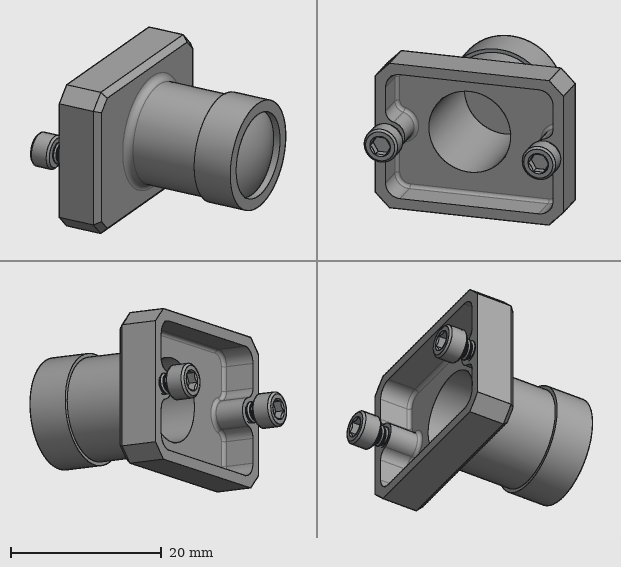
import cadquery as cq
import math


PLATE_THICKNESS = 6.0
PLATE_WIDTH = 26.2
PLATE_HEIGHT = 20.4
CORNER_CHAMFER = 2.0
FRONT_CHAMFER = 0.8

RIM_WIDTH = 1.45
POCKET_DEPTH = 4.6
POCKET_CORNER_RADIUS = 2.0
POCKET_FLOOR_FILLET = 0.5
BOSS_RADIUS = 2.0
BOSS_BLEND_RADIUS = 1.5

BARREL_OFFSET_Y = 1.4
BARREL_DIAMETER = 14.0
BARREL_BORE_DIAMETER = 11.4
BARREL_ROOT_FILLET = 1.0

CAP_DIAMETER = 15.0
CAP_LENGTH = 5.5
CAP_REAR_X = 16.6
CAP_FRONT_X = CAP_REAR_X + CAP_LENGTH

LENS_DIAMETER = 12.5
LENS_RIM_THICKNESS = 1.0
DOME_DIAMETER = 11.84
DOME_RADIUS = 13.0
DOME_PROTRUSION = 0.45
DOME_HEIGHT = DOME_RADIUS - math.sqrt(DOME_RADIUS**2 - (DOME_DIAMETER / 2) ** 2)
LENS_RIM_X = CAP_FRONT_X + DOME_PROTRUSION - DOME_HEIGHT
LENS_REAR_X = LENS_RIM_X - LENS_RIM_THICKNESS

SCREW_SPACING = 22.0
HEAD_DIAMETER = 4.65
HEAD_HEIGHT = 2.85
HEAD_EDGE_CHAMFER = 0.3
HEAD_GAP = 1.55
SOCKET_ACROSS_FLATS = 2.4
SOCKET_DEPTH = 1.3
SOCKET_MOUTH_DIAMETER = 2.85
THREAD_DIAMETER = 2.85
THREAD_ROOT_DIAMETER = 2.27
THREAD_PITCH = 0.635
THREAD_BASE_WIDTH = 0.55
THREAD_CREST_WIDTH = 0.1
THREAD_LENGTH = 6.0
THREAD_EMBED = 0.05
SCREW_LENGTH = 6.35
HEAD_SEAT_X = -HEAD_GAP
THREAD_START = 0.6

SCREW_POSITIONS_Y = [-SCREW_SPACING / 2, SCREW_SPACING / 2]


def cross_section(x, y=0):
    """Workplane normal to X at the given x, with local axes along Y and Z."""
    return cq.Workplane(cq.Plane(origin=(x, y, 0), xDir=(0, 1, 0), normal=(1, 0, 0)))


def rod(x_start, x_end, diameter, y=0):
    """Solid cylinder along X."""
    return cross_section(x_start, y).circle(diameter / 2).extrude(x_end - x_start)


def make_pocket():
    """Volume of the rear pocket, notched on both sides by the screw bosses."""
    pocket_width = PLATE_WIDTH - 2 * RIM_WIDTH
    pocket_height = PLATE_HEIGHT - 2 * RIM_WIDTH
    pocket = cross_section(0).rect(pocket_width, pocket_height).extrude(POCKET_DEPTH)
    pocket = pocket.edges("|X").fillet(POCKET_CORNER_RADIUS)
    for y in SCREW_POSITIONS_Y:
        pocket = pocket.cut(rod(0, POCKET_DEPTH, 2 * BOSS_RADIUS, y))
    blend_zone = cq.selectors.BoxSelector(
        (-1, -pocket_width, -BOSS_RADIUS), (PLATE_THICKNESS, pocket_width, BOSS_RADIUS)
    )
    side_edges = cq.selectors.StringSyntaxSelector("|X")
    pocket = pocket.edges(cq.selectors.AndSelector(side_edges, blend_zone)).fillet(BOSS_BLEND_RADIUS)
    return pocket.faces(">X").edges().fillet(POCKET_FLOOR_FILLET)


def make_housing(screws):
    """Flange plate with its pocket, the barrel that carries the lens, and the tapped screw holes."""
    housing = cross_section(0).rect(PLATE_WIDTH, PLATE_HEIGHT).extrude(PLATE_THICKNESS)
    housing = housing.edges("|X").chamfer(CORNER_CHAMFER)
    housing = housing.faces(">X").chamfer(FRONT_CHAMFER)
    housing = housing.cut(make_pocket())

    housing = housing.union(rod(PLATE_THICKNESS, LENS_RIM_X, BARREL_DIAMETER, BARREL_OFFSET_Y))
    barrel_root = cq.selectors.BoxSelector(
        (PLATE_THICKNESS - 0.1, BARREL_OFFSET_Y - 0.1, -BARREL_DIAMETER),
        (PLATE_THICKNESS + 0.1, BARREL_OFFSET_Y + 0.1, BARREL_DIAMETER),
    )
    housing = housing.edges("%CIRCLE").edges(barrel_root).fillet(BARREL_ROOT_FILLET)
    housing = housing.cut(rod(0, LENS_RIM_X, BARREL_BORE_DIAMETER, BARREL_OFFSET_Y))
    housing = housing.cut(rod(LENS_REAR_X, LENS_RIM_X, LENS_DIAMETER, BARREL_OFFSET_Y))

    for screw in screws:
        housing = housing.cut(screw)
    return housing


def make_cap():
    """Ring over the barrel's end, with an inward lip at the front that holds the lens."""
    cap = rod(CAP_REAR_X, CAP_FRONT_X, CAP_DIAMETER, BARREL_OFFSET_Y)
    cap = cap.cut(rod(CAP_REAR_X, LENS_RIM_X, BARREL_DIAMETER, BARREL_OFFSET_Y))
    return cap.cut(rod(LENS_RIM_X, CAP_FRONT_X, DOME_DIAMETER, BARREL_OFFSET_Y))


def make_lens():
    """Flat-backed lens with a stepped rim and a spherical front."""
    mid_angle = math.asin(DOME_DIAMETER / 2 / DOME_RADIUS) / 2
    dome_center_x = LENS_RIM_X + DOME_HEIGHT - DOME_RADIUS
    half_profile = (
        cq.Workplane("XY")
        .moveTo(LENS_REAR_X, 0)
        .lineTo(LENS_REAR_X, LENS_DIAMETER / 2)
        .lineTo(LENS_RIM_X, LENS_DIAMETER / 2)
        .lineTo(LENS_RIM_X, DOME_DIAMETER / 2)
        .threePointArc(
            (dome_center_x + DOME_RADIUS * math.cos(mid_angle), DOME_RADIUS * math.sin(mid_angle)),
            (dome_center_x + DOME_RADIUS, 0),
        )
        .close()
    )
    lens = half_profile.revolve(360, (0, 0, 0), (1, 0, 0))
    return lens.translate((0, BARREL_OFFSET_Y, 0))


def make_thread_ridge():
    """Helical ridge along +Z, with its first crest on the +X side at Z = 0."""
    inner = THREAD_ROOT_DIAMETER / 2 - THREAD_EMBED
    crest = THREAD_DIAMETER / 2
    profile = (
        cq.Workplane("XZ")
        .moveTo(inner, -THREAD_BASE_WIDTH / 2)
        .lineTo(crest, -THREAD_CREST_WIDTH / 2)
        .lineTo(crest, THREAD_CREST_WIDTH / 2)
        .lineTo(inner, THREAD_BASE_WIDTH / 2)
        .close()
    )
    helix = cq.Wire.makeHelix(THREAD_PITCH, THREAD_LENGTH, THREAD_ROOT_DIAMETER / 2)
    return profile.sweep(cq.Workplane(helix), isFrenet=True)


def make_screw(y):
    """Socket head screw along X with its head at the rear."""
    head_rear_x = HEAD_SEAT_X - HEAD_HEIGHT
    head = rod(head_rear_x, HEAD_SEAT_X, HEAD_DIAMETER).edges().chamfer(HEAD_EDGE_CHAMFER)
    across_corners = SOCKET_ACROSS_FLATS / math.cos(math.pi / 6)
    socket = cross_section(head_rear_x).polygon(6, across_corners).extrude(SOCKET_DEPTH)
    mouth_depth = (SOCKET_MOUTH_DIAMETER - SOCKET_ACROSS_FLATS) / 2
    mouth = (
        cross_section(head_rear_x)
        .circle(SOCKET_MOUTH_DIAMETER / 2)
        .workplane(offset=mouth_depth)
        .circle(SOCKET_ACROSS_FLATS / 2)
        .loft()
    )
    head = head.cut(socket).cut(mouth)

    ridge = make_thread_ridge().rotate((0, 0, 0), (1, 1, 1), 120)
    ridge = ridge.translate((HEAD_SEAT_X + THREAD_START - THREAD_PITCH, 0, 0))
    shank = rod(HEAD_SEAT_X, HEAD_SEAT_X + SCREW_LENGTH, THREAD_ROOT_DIAMETER)
    return shank.union(ridge).union(head).translate((0, y, 0))


screws = [make_screw(y) for y in SCREW_POSITIONS_Y]
housing = make_housing(screws)
cap = make_cap()
lens = make_lens()

bodies = [housing, cap, lens, *screws]

result = cq.Compound.makeCompound([body.solids().val() for body in bodies])